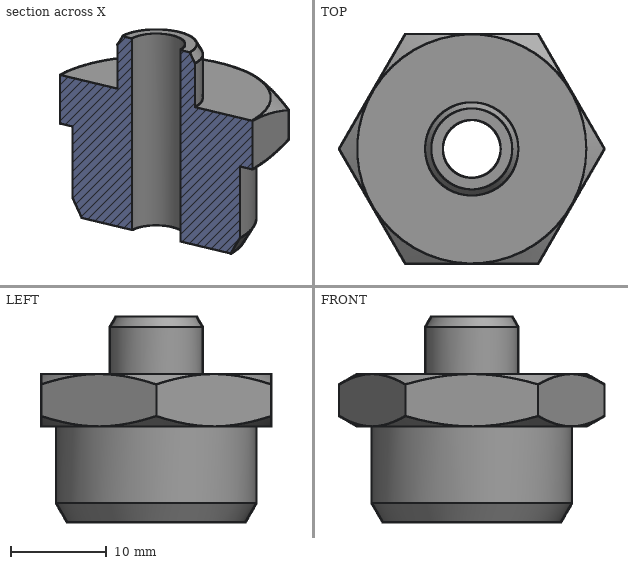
import cadquery as cq
import math

hex_sides = 6
hex_across_flats = 24.0
hex_face_diameter = 23.9
hex_height = 5.5
hex_corner_angle = 30.0

large_diameter = 20.95
large_length = 10.0
large_end_diameter = 18.6

small_diameter = 9.73
small_length = 6.0
small_end_diameter = 8.45

end_taper_angle = 60.0

bore_diameter = 6.0

hex_across_corners = hex_across_flats / math.cos(math.pi / hex_sides)
hex_top = large_length + hex_height
total_height = hex_top + small_length


def taper_height(wide_diameter, narrow_diameter, angle):
    """Axial height of a cone between two diameters at a slope from horizontal."""
    return (wide_diameter - narrow_diameter) / 2 * math.tan(math.radians(angle))


def revolved(profile):
    """Solid of revolution about Z from (radius, height) points."""
    return cq.Workplane("XZ").polyline(profile).close().revolve(360, (0, 0), (0, 1))


def make_hexagon():
    """Hexagon with its corners turned to a cone at the top and bottom."""
    hexagon = (
        cq.Workplane("XY")
        .workplane(offset=large_length)
        .polygon(hex_sides, hex_across_corners)
        .extrude(hex_height)
    )
    face_radius = hex_face_diameter / 2
    corner_radius = hex_across_corners / 2
    cone_height = taper_height(hex_across_corners, hex_face_diameter, hex_corner_angle)
    envelope = revolved([
        (0, large_length),
        (face_radius, large_length),
        (corner_radius, large_length + cone_height),
        (corner_radius, hex_top - cone_height),
        (face_radius, hex_top),
        (0, hex_top),
    ])
    return hexagon.intersect(envelope)


def make_spigots():
    """Large and small spigots as one turned body, tapered at both ends."""
    large_taper = taper_height(large_diameter, large_end_diameter, end_taper_angle)
    small_taper = taper_height(small_diameter, small_end_diameter, end_taper_angle)
    return revolved([
        (0, 0),
        (large_end_diameter / 2, 0),
        (large_diameter / 2, large_taper),
        (large_diameter / 2, large_length),
        (small_diameter / 2, large_length),
        (small_diameter / 2, total_height - small_taper),
        (small_end_diameter / 2, total_height),
        (0, total_height),
    ])


def make_bore():
    """Straight bore through the full height."""
    return cq.Workplane("XY").circle(bore_diameter / 2).extrude(total_height)


result = make_hexagon().union(make_spigots()).cut(make_bore())